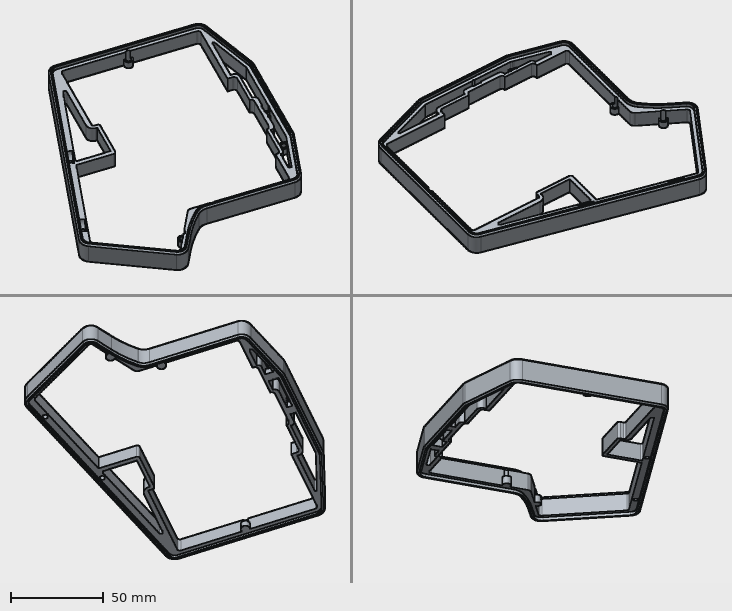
import cadquery as cq
import math

height = 14.0
rim_drop = 2.2
ledge_z = height - rim_drop
floor_z = 1.9
pad_top_z = 6.5
pad_hole_floor_z = 3.5

edge_chamfer = 1.0
rim_inset = 2.0
wall = 4.2
bottom_wall = 6.0

top_y = 137.5
right_x = 130.4
left_low_y = 34.0
left_high_y = 123.3
bottom_angle = -15
lower_right_angle = 60
upper_left_angle = 20
upper_right_angle = -15
shoulder_angle = -30
lower_right_x = 130.7
upper_right_y = 128.3
shoulder_y = 66.0
outer_radius = 6.0

tight_bend_rise = 3.5
tight_bend_radius = 7.7
wide_bend_run = 9.6
wide_bend_radius = 64.4

corner_radius = 1.5
tip_radius = 1.0
left_tip_radius = 0.6
shoulder_radius = 3.1

divider_edges_low = {"left": 120.6, "middle": 125.5, "raised": 127.5, "right": 122.8}
divider_edges_high = {"left": 123.3, "middle": 127.5, "raised": 130.2, "right": 125.5}
divider_center_x = 74.8
step_low_half_width = 12.0
step_high_half_width = 13.2
left_step_low_x = 43.5
left_step_high_x = 41.5
right_step_low_x = 105.9
right_step_high_x = 106.7
step_low_radius = 1.9
step_high_radius = 2.5
left_step_high_radius = 3.0

shelf_top, shelf_bottom = 39.9, 36.9
step_top, step_bottom = 44.0, 41.8
step_outer_x, step_inner_x = 48.7, 50.7
leg_inner_x, leg_outer_x = 69.7, 72.4
step_foot_radius = 1.0
step_shoulder_radius = 1.3
step_inner_radius = 4.1

pad_width = 5.0
pad_hole_diameter = 3.0
left_pad = (4.9, 79.0)
right_pad = (125.2, 77.8)
shoulder_pad = (140.6, 54.3)
top_pad_1 = (71.5, 132.0)
top_pad_2 = (96.8, 131.5)
top_pad_1_front_y = 129.7

slot_first_x = 65.7
slot_second_x = 115.6
slot_inset = 3.8
slot_width = 3.0
slot_radius = 4.48
slot_hole_diameter = 2.7


def inset(line, distance):
    """Move a line (x, y, direction in degrees) to the left of its direction."""
    x, y, angle = line
    a = math.radians(angle)
    return (x - distance * math.sin(a), y + distance * math.cos(a), angle)


def meet(first, second):
    """Crossing point of two lines."""
    x1, y1, angle1 = first
    x2, y2, angle2 = second
    a1, a2 = math.radians(angle1), math.radians(angle2)
    along = ((x2 - x1) * math.sin(a2) - (y2 - y1) * math.cos(a2)) / math.sin(a2 - a1)
    return (x1 + along * math.cos(a1), y1 + along * math.sin(a1))


def point_at_x(line, x):
    return meet(line, (x, 0, 90))


def point_at_y(line, y):
    return meet(line, (0, y, 0))


def rounded_outline(corners, z):
    """Closed wire through (point, radius) corners; radius 0 leaves a corner sharp."""
    stretches = []
    for i, (corner, radius) in enumerate(corners):
        here = cq.Vector(*corner)
        back = (cq.Vector(*corners[i - 1][0]) - here).normalized()
        ahead = (cq.Vector(*corners[(i + 1) % len(corners)][0]) - here).normalized()
        if radius == 0:
            stretches.append([here])
            continue
        half_angle = back.getAngle(ahead) / 2
        reach = radius / math.tan(half_angle)
        bisector = (back + ahead).normalized()
        middle = here + bisector * (radius / math.sin(half_angle) - radius)
        stretches.append([here + back * reach, middle, here + ahead * reach])

    sketch = cq.Workplane("XY", origin=(0, 0, z)).moveTo(*stretches[0][-1].toTuple()[:2])
    for stretch in stretches[1:] + stretches[:1]:
        sketch = sketch.lineTo(*stretch[0].toTuple()[:2])
        if len(stretch) > 1:
            sketch = sketch.threePointArc(stretch[1].toTuple()[:2], stretch[2].toTuple()[:2])
    return sketch.wire()


bottom_side = (0, left_low_y, bottom_angle)
lower_right_side = (lower_right_x, 0, lower_right_angle)
shoulder_side = (right_x, shoulder_y, shoulder_angle + 180)
right_side = (right_x, 0, 90)
upper_right_side = (right_x, upper_right_y, upper_right_angle + 180)
top_side = (0, top_y, 180)
upper_left_side = (0, left_high_y, upper_left_angle + 180)
left_side = (0, 0, -90)

bottom_face = inset(bottom_side, bottom_wall)
lower_right_face = inset(lower_right_side, wall)
shoulder_face = inset(shoulder_side, wall)
right_face = inset(right_side, wall)
upper_right_face = inset(upper_right_side, wall)
top_face = inset(top_side, wall)
upper_left_face = inset(upper_left_side, wall)


def outer_outline():
    shoulder = math.radians(shoulder_angle)
    wide_bend = (
        right_x + wide_bend_run * math.cos(shoulder),
        shoulder_y + wide_bend_run * math.sin(shoulder),
    )
    return rounded_outline(
        [
            (meet(left_side, bottom_side), outer_radius),
            (meet(bottom_side, lower_right_side), outer_radius),
            (meet(lower_right_side, shoulder_side), outer_radius),
            (wide_bend, wide_bend_radius),
            ((right_x, shoulder_y + tight_bend_rise), tight_bend_radius),
            (meet(right_side, upper_right_side), outer_radius),
            (meet(upper_right_side, top_side), outer_radius),
            (meet(top_side, upper_left_side), outer_radius),
            (meet(upper_left_side, left_side), outer_radius),
        ],
        0,
    )


def main_opening():
    low = divider_edges_low
    step_left_x = divider_center_x - step_low_half_width
    step_right_x = divider_center_x + step_low_half_width
    outline = rounded_outline(
        [
            ((wall, shelf_top), corner_radius),
            ((step_outer_x, shelf_top), step_foot_radius),
            ((step_outer_x, step_top), step_shoulder_radius),
            ((leg_outer_x, step_top), corner_radius),
            (point_at_x(bottom_face, leg_outer_x), 0),
            (meet(bottom_face, lower_right_face), corner_radius),
            (meet(lower_right_face, shoulder_face), corner_radius),
            (meet(shoulder_face, right_face), shoulder_radius),
            (point_at_y(right_face, low["right"]), corner_radius),
            ((right_step_low_x, low["right"]), 0),
            ((right_step_low_x, low["middle"]), step_low_radius),
            ((step_right_x, low["middle"]), 0),
            ((step_right_x, low["raised"]), step_low_radius),
            ((step_left_x, low["raised"]), step_low_radius),
            ((step_left_x, low["middle"]), 0),
            ((left_step_low_x, low["middle"]), step_low_radius),
            ((left_step_low_x, low["left"]), 0),
            ((wall, low["left"]), corner_radius),
        ],
        0,
    )
    return outline.extrude(height)


def top_window():
    high = divider_edges_high
    step_left_x = divider_center_x - step_high_half_width
    step_right_x = divider_center_x + step_high_half_width
    outline = rounded_outline(
        [
            (point_at_y(upper_left_face, high["left"]), left_tip_radius),
            ((left_step_high_x, high["left"]), 0),
            ((left_step_high_x, high["middle"]), left_step_high_radius),
            ((step_left_x, high["middle"]), 0),
            ((step_left_x, high["raised"]), step_high_radius),
            ((step_right_x, high["raised"]), step_high_radius),
            ((step_right_x, high["middle"]), 0),
            ((right_step_high_x, high["middle"]), step_low_radius),
            ((right_step_high_x, high["right"]), 0),
            (point_at_y(upper_right_face, high["right"]), tip_radius),
            (meet(upper_right_face, top_face), 0),
            (meet(top_face, upper_left_face), 0),
        ],
        0,
    )
    return outline.extrude(height)


def bottom_window():
    outline = rounded_outline(
        [
            (point_at_y(bottom_face, shelf_bottom), tip_radius),
            (point_at_x(bottom_face, leg_inner_x), tip_radius),
            ((leg_inner_x, step_bottom), 0),
            ((step_inner_x, step_bottom), 0),
            ((step_inner_x, shelf_bottom), step_inner_radius),
        ],
        0,
    )
    return outline.extrude(height)


def block(x_range, y_range, z_range):
    size = [high - low for low, high in (x_range, y_range, z_range)]
    corner = (x_range[0], y_range[0], z_range[0])
    return cq.Workplane("XY").box(*size, centered=False).translate(corner)


def round_pad(center):
    return (
        cq.Workplane("XY", origin=(*center, floor_z))
        .circle(pad_width / 2)
        .extrude(pad_top_z - floor_z)
    )


def square_pad(center, front_y):
    x = center[0]
    sides = (x - pad_width / 2, x + pad_width / 2)
    return block(sides, (front_y, top_y - rim_inset), (floor_z, pad_top_z))


def pad_hole(center):
    return (
        cq.Workplane("XY", origin=(*center, pad_hole_floor_z))
        .circle(pad_hole_diameter / 2)
        .extrude(height)
    )


def bottom_slot(x):
    """Round-bottomed slot along the bottom wall with a hole through its lowest point."""
    _, y = point_at_x(inset(bottom_side, slot_inset), x)
    trough = (
        cq.Workplane("XZ")
        .circle(slot_radius)
        .extrude(slot_width / 2, both=True)
        .translate((0, 0, ledge_z))
    )
    hole = cq.Workplane("XY").circle(slot_hole_diameter / 2).extrude(height)
    return trough.union(hole).rotate((0, 0, 0), (0, 0, 1), bottom_angle).translate((x, y, 0))


body = outer_outline().extrude(height).faces("<Z or >Z").chamfer(edge_chamfer)
inside_rim = outer_outline().offset2D(-rim_inset).extrude(height)
top_recess = inside_rim.translate((0, 0, ledge_z))
bottom_recess = inside_rim.translate((0, 0, floor_z - height))
result = body.cut(top_recess).cut(bottom_recess)
result = result.cut(main_opening()).cut(top_window()).cut(bottom_window())

notch_x = (top_pad_1[0] - pad_width / 2, top_pad_1[0] + pad_width / 2)
notch_y = (top_pad_1_front_y, divider_edges_high["raised"])
result = result.cut(block(notch_x, notch_y, (pad_top_z, height)))

for pad in (left_pad, right_pad, shoulder_pad):
    result = result.union(round_pad(pad))
result = result.union(square_pad(top_pad_1, top_pad_1_front_y))
result = result.union(square_pad(top_pad_2, divider_edges_low["middle"]))

for pad in (left_pad, right_pad, shoulder_pad, top_pad_1, top_pad_2):
    result = result.cut(pad_hole(pad))

for slot_x in (slot_first_x, slot_second_x):
    result = result.cut(bottom_slot(slot_x))